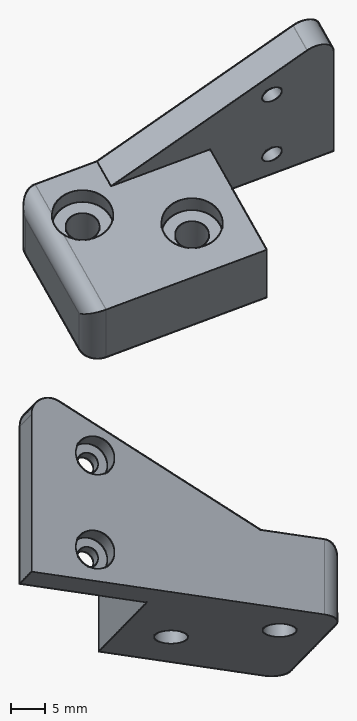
import cadquery as cq
import math

width = 25.0
length = 49.0
height = 28.15

block_length = 29.0
block_height = 12.0
plate_thickness = 5.0
slope_start = 13.0
corner_radius = 3.0

block_holes = [(8.0, 7.0), (16.0, 21.0)]
block_hole_diameter = 5.0
block_bore_diameter = 9.0
block_bore_depth = 3.0

plate_hole_y = length - 10.0
plate_hole_heights = [5.0, 20.0]
plate_hole_diameter = 3.2
plate_bore_diameter = 6.1
plate_bore_depth = 3.0


def make_block():
    """Block with rounded front corners and a rounded top front edge, meeting in mitres."""
    footprint = (
        cq.Workplane("XY")
        .rect(width, block_length, centered=False)
        .extrude(block_height)
        .edges("|Z and <Y")
        .fillet(corner_radius)
    )
    side_profile = (
        cq.Workplane("XY")
        .box(width, block_length, block_height, centered=False)
        .edges("|X and <Y and >Z")
        .fillet(corner_radius)
    )
    return footprint.intersect(side_profile)


def make_plate():
    """Sloped plate whose top edge runs tangent into the rounded rear corner."""
    centre_y = length - corner_radius
    centre_z = height - corner_radius
    run = centre_y - slope_start
    rise = centre_z - block_height
    slope = math.atan2(rise, run) + math.asin(corner_radius / math.hypot(run, rise))

    def on_corner(angle):
        return (
            centre_y + corner_radius * math.cos(angle),
            centre_z + corner_radius * math.sin(angle),
        )

    tangent_angle = slope + math.pi / 2
    return (
        cq.Workplane("YZ")
        .moveTo(slope_start, 0)
        .lineTo(length, 0)
        .lineTo(*on_corner(0))
        .threePointArc(on_corner(tangent_angle / 2), on_corner(tangent_angle))
        .lineTo(slope_start, block_height)
        .close()
        .extrude(plate_thickness)
    )


body = make_block().union(make_plate())

block_cutter = (
    cq.Workplane("XY")
    .pushPoints(block_holes)
    .circle(block_hole_diameter / 2)
    .extrude(block_height)
)
block_bores = (
    cq.Workplane("XY", origin=(0, 0, block_height))
    .pushPoints(block_holes)
    .circle(block_bore_diameter / 2)
    .extrude(-block_bore_depth)
)

plate_holes = [(plate_hole_y, z) for z in plate_hole_heights]
plate_cutter = (
    cq.Workplane("YZ")
    .pushPoints(plate_holes)
    .circle(plate_hole_diameter / 2)
    .extrude(plate_thickness)
)
plate_bores = (
    cq.Workplane("YZ")
    .pushPoints(plate_holes)
    .circle(plate_bore_diameter / 2)
    .extrude(plate_bore_depth)
)

result = body.cut(block_cutter).cut(block_bores).cut(plate_cutter).cut(plate_bores)